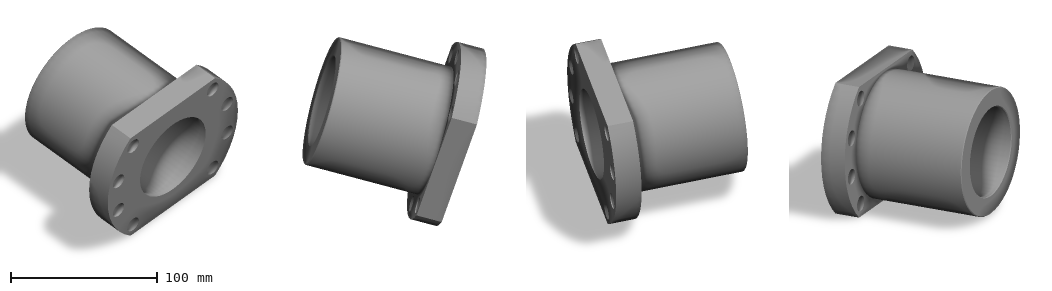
import cadquery as cq
import math

total_length = 98.0
flange_diameter = 125.0
flange_height = 95.0
flange_thickness = 18.0
body_diameter = 90.0
bore_diameter = 63.0
edge_chamfer = 0.5

hole_diameter = 11.0
hole_circle_radius = 54.0
hole_angles = (15, 45)

body_length = total_length - flange_thickness


def make_body():
    """Cylinder starting at X = 0 and running through the flange."""
    return cq.Workplane("YZ").circle(body_diameter / 2).extrude(total_length)


def make_flange():
    """Round flange with flats at the top and bottom."""
    mounting_plane = cq.Workplane("YZ", origin=(body_length, 0, 0))
    disc = mounting_plane.circle(flange_diameter / 2).extrude(flange_thickness)
    flats = mounting_plane.rect(flange_diameter, flange_height).extrude(flange_thickness)
    return disc.intersect(flats)


def make_mounting_holes():
    """Through holes on one circle, grouped on both sides of the flange."""
    centers = []
    for angle in hole_angles:
        y = hole_circle_radius * math.cos(math.radians(angle))
        z = hole_circle_radius * math.sin(math.radians(angle))
        centers += [(y, z), (-y, z), (y, -z), (-y, -z)]
    holes = cq.Workplane("YZ", origin=(body_length, 0, 0)).pushPoints(centers)
    return holes.circle(hole_diameter / 2).extrude(flange_thickness)


def make_bore():
    """Straight through bore."""
    return cq.Workplane("YZ").circle(bore_diameter / 2).extrude(total_length)


blank = make_body().union(make_flange()).cut(make_mounting_holes()).cut(make_bore())

result = blank.faces("<X").chamfer(edge_chamfer)